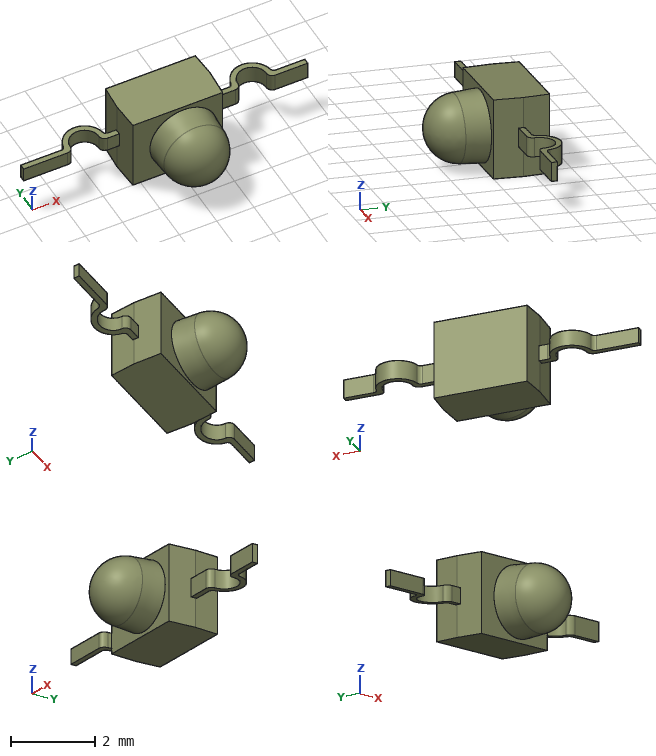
import cadquery as cq
import math

housing_width = 2.5
housing_end_width = 2.41
housing_height = 2.0
housing_back = 0.67
housing_front = 0.73

lens_x = 0.15
lens_base_radius = 0.9
lens_dome_radius = 0.85
lens_barrel_length = 0.625
overall_depth = 2.8

overall_length = 7.62
lead_end = overall_length / 2
lead_thickness = 0.15
lead_top = 0.04
left_lead_height = 0.4
right_lead_height = 0.48
arch_spacing = 4.495
arch_inner_radius = 0.38
arch_outer_radius = arch_inner_radius + lead_thickness
arch_foot_radius = 0.11


def make_housing():
    """Tapered block and lens, moulded in one piece."""
    half_width = housing_width / 2
    half_end = housing_end_width / 2
    block = (
        cq.Workplane("XY")
        .workplane(offset=-housing_height / 2)
        .polyline([
            (-half_end, -housing_front),
            (half_end, -housing_front),
            (half_width, 0),
            (half_end, housing_back),
            (-half_end, housing_back),
            (-half_width, 0),
        ])
        .close()
        .extrude(housing_height)
    )
    return block.union(make_lens())


def make_lens():
    """Half profile turned about an axis along Y; its straight root at Y = 0 is buried in the block."""
    dome_start = -housing_front - lens_barrel_length
    tip = housing_back - overall_depth
    dome_height = dome_start - tip
    sphere_radius = (lens_dome_radius ** 2 + dome_height ** 2) / (2 * dome_height)
    sphere_center = tip + sphere_radius
    half_angle = math.acos((sphere_center - dome_start) / sphere_radius) / 2
    dome_middle = (
        lens_x + sphere_radius * math.sin(half_angle),
        sphere_center - sphere_radius * math.cos(half_angle),
    )
    return (
        cq.Workplane("XY")
        .moveTo(lens_x, 0)
        .lineTo(lens_x + lens_base_radius, 0)
        .lineTo(lens_x + lens_base_radius, -housing_front)
        .lineTo(lens_x + lens_dome_radius, dome_start)
        .threePointArc(dome_middle, (lens_x, tip))
        .close()
        .revolve(360, (lens_x, 0), (lens_x, 1))
    )


def make_arch(arch_x, height):
    """Half disc standing on the +Y face of the strip."""
    return (
        cq.Workplane("XY", origin=(arch_x, lead_top, -height / 2))
        .moveTo(-arch_outer_radius, 0)
        .threePointArc((0, arch_outer_radius), (arch_outer_radius, 0))
        .close()
        .extrude(height)
    )


def make_arch_opening(arch_x, height):
    """Space under the arch: a half disc whose mouth flares out through the strip in two quarter rounds."""
    mouth = arch_inner_radius + lead_thickness
    flare_x = mouth - lead_thickness * math.sqrt(0.5)
    flare_y = -lead_thickness * math.sqrt(0.5)
    return (
        cq.Workplane("XY", origin=(arch_x, lead_top, -height / 2))
        .moveTo(-mouth, -lead_thickness)
        .threePointArc((-flare_x, flare_y), (-arch_inner_radius, 0))
        .threePointArc((0, arch_inner_radius), (arch_inner_radius, 0))
        .threePointArc((flare_x, flare_y), (mouth, -lead_thickness))
        .close()
        .extrude(height)
    )


def blend_arch_feet(lead, arch_x):
    """Round the inner corners where the outside of the arch meets the strip."""
    for foot_x in (arch_x - arch_outer_radius, arch_x + arch_outer_radius):
        foot = lead.edges(cq.selectors.NearestToPointSelector((foot_x, lead_top, 0)))
        lead = foot.fillet(arch_foot_radius)
    return lead


def make_lead(free_end, arch_x, height, housing):
    """Arched strip from its free end to the side of the housing."""
    strip = (
        cq.Workplane("XY")
        .box(abs(free_end), lead_thickness, height)
        .translate((free_end / 2, lead_top - lead_thickness / 2, 0))
    )
    arched_strip = strip.union(make_arch(arch_x, height)).cut(make_arch_opening(arch_x, height))
    return blend_arch_feet(arched_strip, arch_x).cut(housing)


housing = make_housing()
left_lead = make_lead(-lead_end, lens_x - arch_spacing / 2, left_lead_height, housing)
right_lead = make_lead(lead_end, lens_x + arch_spacing / 2, right_lead_height, housing)

result = cq.Compound.makeCompound([housing.val(), left_lead.val(), right_lead.val()])